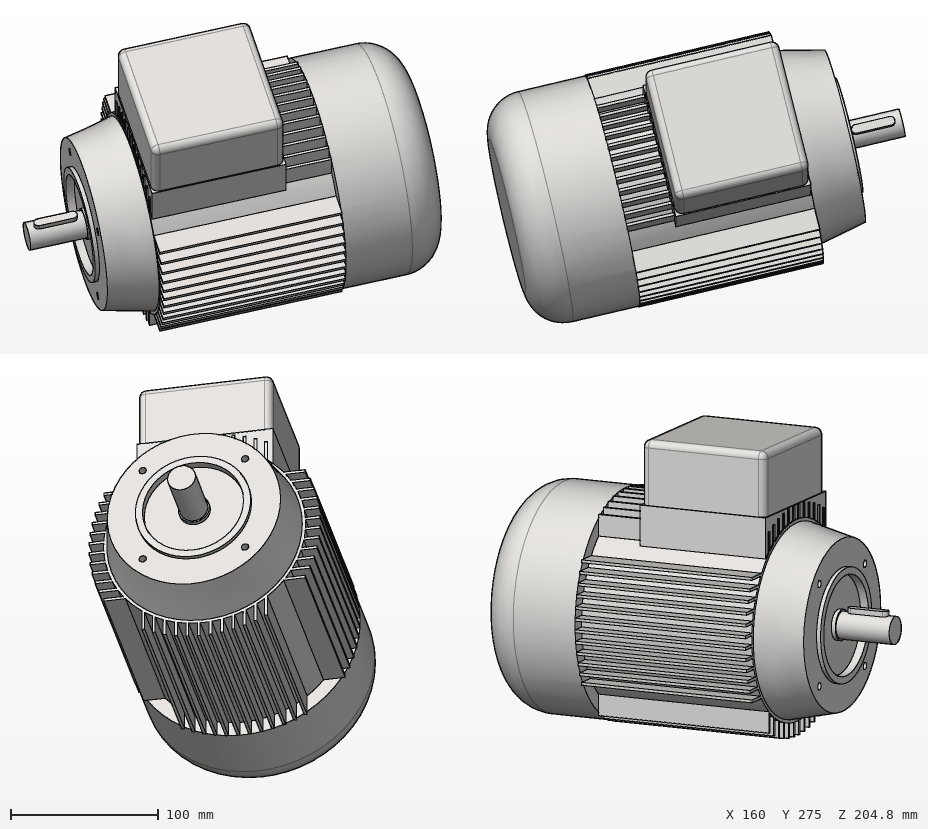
import cadquery as cq
import math


length = 275.0
ring_y = 36.8
flange_y = 40.0
body_y = 74.0
cover_y = 201.8

shaft_radius = 9.5
shaft_collar_radius = 10.7
shaft_collar_height = 3.0
key_width = 6.0
key_length = 30.2
key_start_y = 5.0
key_top_z = 13.0

flange_radius = 60.0
shield_radius = 67.6
ring_outer_radius = 40.0
ring_inner_radius = 35.0
ring_recess_depth = 6.0
bolt_circle_radius = 50.0
bolt_hole_diameter = 5.0
bolt_hole_depth = 10.0
bolt_count = 4
bolt_start_angle = 45

body_radius = 69.8
cover_radius = 80.0
cover_fillet = 26.7
fin_thickness = 2.0
fins_per_side = 12
fin_pitch_angle = 5.0
fin_tip_arc_radius = 91.8

pad_size = 94.0
pad_center_y = 121.8
box_inset = 0.8
box_size = pad_size - 2 * box_inset
box_top_z = 124.8
box_fillet = 5.0


def cylinder(radius, start_y, end_y):
    """Solid cylinder on the shaft axis between two stations."""
    return cq.Workplane("XZ", origin=(0, start_y, 0)).circle(radius).extrude(start_y - end_y)


def block(size_x, size_y, bottom_z, top_z, center_y):
    """Upright block centred on X = 0."""
    base = cq.Workplane("XY", origin=(0, center_y, bottom_z))
    return base.rect(size_x, size_y).extrude(top_z - bottom_z)


def make_fan_cover():
    return cylinder(cover_radius, cover_y, length).faces(">Y").edges().fillet(cover_fillet)


def make_fin_bank():
    """Parallel fins pointing up, with tips on an arc that touches the cover circle."""
    arc_center_z = cover_radius - fin_tip_arc_radius
    bank = cq.Workplane("XY")
    for index in range(fins_per_side):
        angle = math.radians((index - (fins_per_side - 1) / 2) * fin_pitch_angle)
        x = fin_tip_arc_radius * math.sin(angle)
        tip_z = arc_center_z + fin_tip_arc_radius * math.cos(angle)
        fin = block(fin_thickness, cover_y - body_y, 0, tip_z, (body_y + cover_y) / 2)
        bank = bank.union(fin.translate((x, 0, 0)))
    return bank


def make_body():
    body = cylinder(body_radius, body_y, cover_y)
    bank = make_fin_bank()
    for quarter in range(4):
        body = body.union(bank.rotate((0, 0, 0), (0, 1, 0), 90 * quarter))
    return body


def make_end_shield():
    """Tapered shield with a recessed centring ring and four bolt holes."""
    shield = (
        cq.Workplane("XY")
        .moveTo(0, flange_y)
        .lineTo(flange_radius, flange_y)
        .lineTo(shield_radius, body_y)
        .lineTo(0, body_y)
        .close()
        .revolve(360, (0, 0, 0), (0, 1, 0))
    )
    floor_y = ring_y + ring_recess_depth
    shield = shield.union(cylinder(ring_outer_radius, ring_y, flange_y))
    shield = shield.cut(cylinder(ring_inner_radius, ring_y, floor_y))
    bolt_holes = (
        cq.Workplane("XZ", origin=(0, flange_y, 0))
        .polarArray(bolt_circle_radius, bolt_start_angle, 360, bolt_count)
        .circle(bolt_hole_diameter / 2)
        .extrude(-bolt_hole_depth)
    )
    collar = cylinder(shaft_collar_radius, floor_y - shaft_collar_height, floor_y)
    return shield.cut(bolt_holes).union(collar)


def make_shaft():
    shaft = cylinder(shaft_radius, 0, body_y)
    key = (
        cq.Workplane("XY", origin=(0, key_start_y + key_length / 2, 0))
        .slot2D(key_length, key_width, 90)
        .extrude(key_top_z)
    )
    return shaft.union(key)


def make_terminal_box():
    pad = block(pad_size, pad_size, 0, cover_radius, pad_center_y)
    box = block(box_size, box_size, cover_radius, box_top_z, pad_center_y)
    box = box.edges("|Z or >Z").fillet(box_fillet)
    return pad.union(box)


result = (
    make_body()
    .union(make_fan_cover())
    .union(make_end_shield())
    .union(make_shaft())
    .union(make_terminal_box())
)